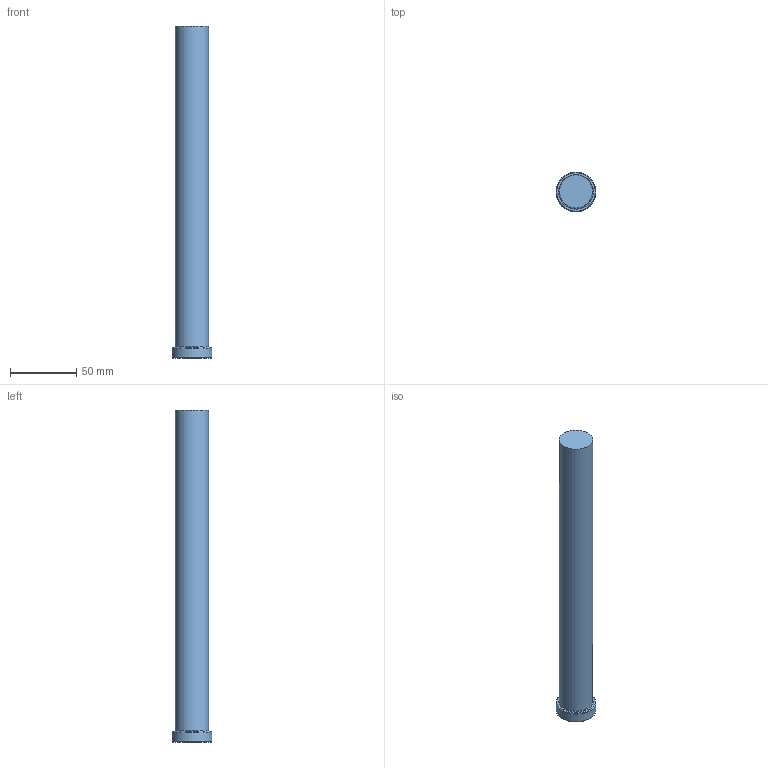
import cadquery as cq

total_length = 250.0
shaft_diameter = 25.0
head_diameter = 30.0
head_height = 8.0

head_chamfer = 0.5
neck_fillet_radius = 0.5


def make_head():
    """Round head at the foot of the pin, with both rims chamfered."""
    head = cq.Workplane("XY").circle(head_diameter / 2).extrude(head_height)
    return head.edges("%CIRCLE").chamfer(head_chamfer)


def make_shaft():
    """Plain cylinder running the full length of the pin."""
    return cq.Workplane("XY").circle(shaft_diameter / 2).extrude(total_length)


def round_neck(pin):
    """Fillet the inside corner where the shaft meets the head."""
    head_top = pin.faces(cq.selectors.NearestToPointSelector((0, 0, head_height)))
    neck_edge = head_top.edges(cq.selectors.RadiusNthSelector(0))
    return neck_edge.fillet(neck_fillet_radius)


result = round_neck(make_head().union(make_shaft()))